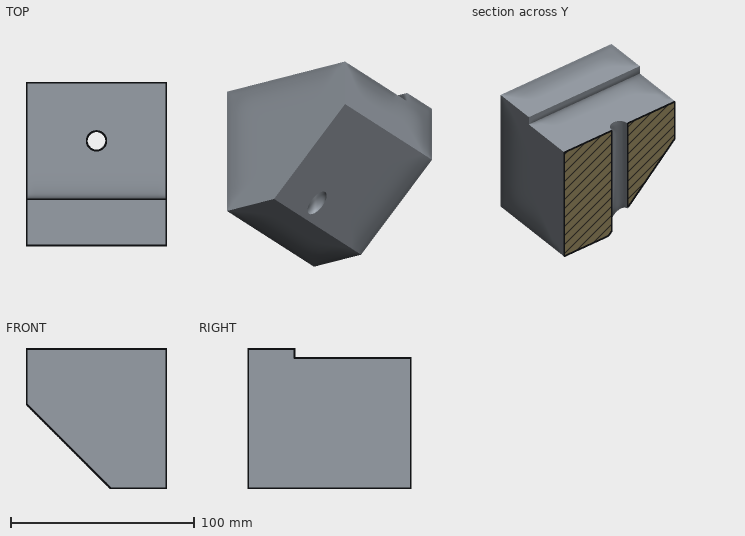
import cadquery as cq

width = 76.2
length = 88.9
height = 76.2

bevel = 45.8

lip_length = 25.4
lip_height = 5.0
seat_length = length - lip_length

hole_diameter = 10.5
hole_x = width / 2
hole_y = lip_length + seat_length / 2


def beveled_block():
    """Block with its lower -X edge cut away, extruded along +Y."""
    return (
        cq.Workplane("XZ")
        .moveTo(bevel, 0)
        .lineTo(width, 0)
        .lineTo(width, height)
        .lineTo(0, height)
        .lineTo(0, bevel)
        .close()
        .extrude(-length)
    )


def seat_cut():
    """Volume removed above the seat, leaving the lip standing."""
    return (
        cq.Workplane("XY")
        .box(width, seat_length, lip_height, centered=False)
        .translate((0, lip_length, height - lip_height))
    )


def seat_hole():
    """Vertical cylinder through the full height."""
    return (
        cq.Workplane("XY")
        .center(hole_x, hole_y)
        .circle(hole_diameter / 2)
        .extrude(height)
    )


result = beveled_block().cut(seat_cut()).cut(seat_hole())